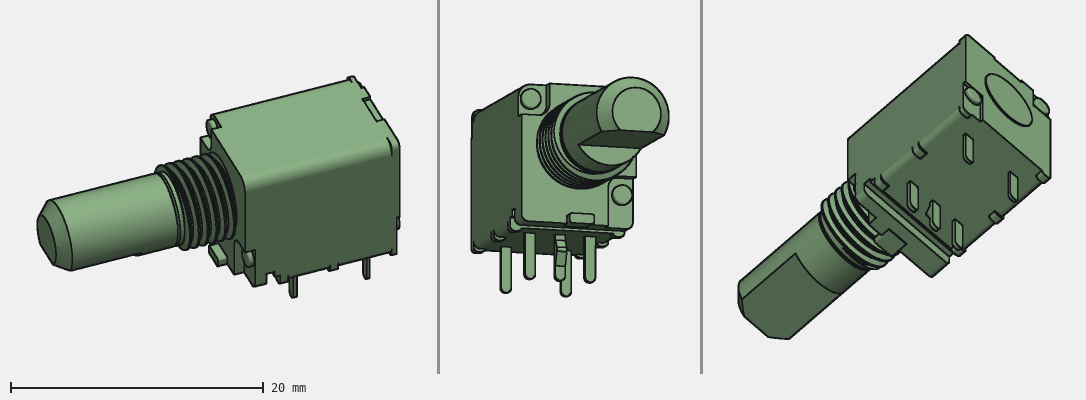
import cadquery as cq


TOTAL_LENGTH = 28.3

BODY_WIDTH = 9.5
BODY_TOP = 4.87
BODY_BOTTOM = -6.3
BODY_REAR = 13.2
REAR_FLANGE_DEPTH = 0.68
TOP_EDGE_RADIUS = 1.02
SMALL_EDGE_RADIUS = 0.55
HALF_WIDTH = BODY_WIDTH / 2
FLANGE_FRONT = BODY_REAR - REAR_FLANGE_DEPTH

REAR_NOTCH_WIDTH = 3.0
REAR_NOTCH_HEIGHT = 0.25

GAP_FRONT = 1.85
GAP_STEP = 2.52
GAP_REAR = 3.0
GAP_TOP = -5.0
GAP_STEP_TOP = -5.52

FOOT_WIDTH = 1.0
FOOT_LENGTH = 0.68
FOOT_BOTTOM = -6.57
FOOT_OUTER_RADIUS = 0.37
FOOT_INNER_RADIUS = 0.35
FOOT_FRONTS = (GAP_REAR, 7.25, FLANGE_FRONT)

RIVET_X = 3.8
RIVET_Z = 3.65
RIVET_RADIUS = 0.8
RIVET_ROUND = 0.15
FRONT_RIVET_HEIGHT = 0.45
FRONT_POCKET_X = 2.43
FRONT_POCKET_Z = 2.25
FRONT_POCKET_DEPTH = 0.85
FRONT_POCKET_RADIUS = 1.0
REAR_POCKET_X = 2.83
REAR_POCKET_Z = 2.65
REAR_POCKET_DEPTH = 0.25

REAR_BOSS_RADIUS = 2.58
REAR_BOSS_HEIGHT = 0.1
REAR_END = BODY_REAR + REAR_BOSS_HEIGHT

KEY_WIDTH = 2.0
KEY_TOP = -5.6
KEY_BOTTOM = -6.4
KEY_FRONT = -0.8
KEY_REAR = 0.85
KEY_RADIUS = 0.185

THREAD_RADIUS = 3.5
BUSHING_RADIUS = 3.0
THREAD_LENGTH = 4.45
BUSHING_LENGTH = 5.0
BUSHING_CHAMFER = 0.2
THREAD_PITCH = 0.75
THREAD_CREST = 0.15
THREAD_ROOT_GAP = 0.1
THREAD_OVERLAP = 0.05
THREAD_FIRST_CREST = 0.4

SHAFT_RADIUS = 3.0
SHAFT_LENGTH = TOTAL_LENGTH - REAR_END
SHAFT_CHAMFER = 1.0
FLAT_LENGTH = 7.0
FLAT_Z = -1.5

PIN_BOTTOM = -10.0
PIN_ROOT = -5.65
PIN_END_RADIUS = 0.4
PIN_SPACING = 2.5
OUTER_PIN_WIDTH = 0.85
MIDDLE_PIN_WIDTH = 0.82
FRONT_PIN_Y = 5.0
FRONT_PIN_THICKNESS = 0.35
REAR_PIN_Y = 11.24
REAR_PIN_THICKNESS = 0.25

BUMP_START_Z = -6.75
BUMP_CREST_TOP_Z = -7.4
BUMP_CREST_BOTTOM_Z = -7.73
BUMP_END_Z = -8.83
BUMP_HEIGHT = 0.45
BUMP_CREST_BULGE = 0.08


def block(x_min, x_max, y_min, y_max, z_min, z_max):
    """Axis-aligned box between two opposite corners."""
    size = (x_max - x_min, y_max - y_min, z_max - z_min)
    return cq.Workplane("XY").box(*size, centered=False).translate((x_min, y_min, z_min))


def rod(radius, y_front, y_rear, x=0, z=0):
    """Cylinder along Y between two Y positions."""
    disc = cq.Workplane("XZ", origin=(x, y_rear, z)).circle(radius)
    return disc.extrude(y_rear - y_front)


def diagonal_pair(solid):
    """The solid together with its copy turned half a turn about the shaft axis."""
    return solid.union(solid.rotate((0, 0, 0), (0, 1, 0), 180))


def make_housing():
    main = block(-HALF_WIDTH, HALF_WIDTH, 0, FLANGE_FRONT, BODY_BOTTOM, BODY_TOP)
    main = main.edges("|Y and >Z").fillet(TOP_EDGE_RADIUS)
    main = main.edges("|Y and <Z").fillet(SMALL_EDGE_RADIUS)
    flange = block(-HALF_WIDTH, HALF_WIDTH, FLANGE_FRONT, BODY_REAR, BODY_BOTTOM, BODY_TOP)
    flange = flange.edges("|Y").fillet(SMALL_EDGE_RADIUS)
    housing = main.union(flange)

    notch_side = REAR_NOTCH_WIDTH / 2
    notch_floor = BODY_TOP - REAR_NOTCH_HEIGHT
    notch = block(-notch_side, notch_side, FLANGE_FRONT, BODY_REAR, notch_floor, BODY_TOP)
    gap = block(-HALF_WIDTH, HALF_WIDTH, GAP_FRONT, GAP_STEP, BODY_BOTTOM, GAP_TOP)
    gap_step = block(-HALF_WIDTH, HALF_WIDTH, GAP_STEP, GAP_REAR, BODY_BOTTOM, GAP_STEP_TOP)
    return housing.cut(notch).cut(gap).cut(gap_step)


def make_corner_pockets():
    far = BODY_WIDTH
    front = block(-far, -FRONT_POCKET_X, 0, FRONT_POCKET_DEPTH, FRONT_POCKET_Z, far)
    front = front.edges("|Y and >X and <Z").fillet(FRONT_POCKET_RADIUS)
    rear_floor = BODY_REAR - REAR_POCKET_DEPTH
    rear = block(-far, -REAR_POCKET_X, rear_floor, BODY_REAR, REAR_POCKET_Z, far)
    return diagonal_pair(front.union(rear))


def make_rivets():
    front_floor = FRONT_POCKET_DEPTH
    rear_floor = BODY_REAR - REAR_POCKET_DEPTH
    front_end = front_floor - FRONT_RIVET_HEIGHT
    rivet = rod(RIVET_RADIUS, front_end, front_floor, -RIVET_X, RIVET_Z)
    rivet = rivet.faces("<Y").edges().fillet(RIVET_ROUND)
    rear_rivet = rod(RIVET_RADIUS, rear_floor, REAR_END, -RIVET_X, RIVET_Z)
    rear_rivet = rear_rivet.faces(">Y").edges().fillet(RIVET_ROUND)
    return diagonal_pair(rivet.union(rear_rivet))


def make_feet():
    feet = cq.Workplane("XY")
    for front in FOOT_FRONTS:
        inner_x = FOOT_WIDTH - HALF_WIDTH
        foot = block(-HALF_WIDTH, inner_x, front, front + FOOT_LENGTH, FOOT_BOTTOM, GAP_STEP_TOP)
        foot = foot.edges("|Y and <Z and <X").fillet(FOOT_OUTER_RADIUS)
        foot = foot.edges("|Y and <Z and >X").fillet(FOOT_INNER_RADIUS)
        feet = feet.add(foot).add(foot.mirror("YZ"))
    return feet.combine()


def make_key():
    key = block(-KEY_WIDTH / 2, KEY_WIDTH / 2, KEY_FRONT, KEY_REAR, KEY_BOTTOM, KEY_TOP)
    return key.edges("|Y").fillet(KEY_RADIUS)


def make_thread():
    start = THREAD_FIRST_CREST - 2 * THREAD_PITCH
    swept_length = THREAD_LENGTH - start + THREAD_PITCH
    inner_radius = BUSHING_RADIUS - THREAD_OVERLAP
    half_crest = THREAD_CREST / 2
    half_base = (THREAD_PITCH - THREAD_ROOT_GAP) / 2
    helix = cq.Wire.makeHelix(THREAD_PITCH, swept_length, inner_radius)
    ridge = (
        cq.Workplane("XZ")
        .moveTo(inner_radius, -half_base)
        .lineTo(THREAD_RADIUS, -half_crest)
        .lineTo(THREAD_RADIUS, half_crest)
        .lineTo(inner_radius, half_base)
        .close()
        .sweep(cq.Workplane(obj=helix), isFrenet=True)
        .translate((0, 0, start))
        .rotate((0, 0, 0), (1, 0, 0), 90)
    )
    return ridge.intersect(rod(2 * THREAD_RADIUS, -THREAD_LENGTH, 0))


def make_bushing():
    bushing = rod(BUSHING_RADIUS, -BUSHING_LENGTH, 0)
    bushing = bushing.faces("<Y").chamfer(BUSHING_CHAMFER)
    return bushing.union(make_thread())


def make_shaft():
    shaft = rod(SHAFT_RADIUS, -SHAFT_LENGTH, 0)
    shaft = shaft.faces("<Y").chamfer(SHAFT_CHAMFER)
    flat_end = FLAT_LENGTH - SHAFT_LENGTH
    flat = block(-SHAFT_RADIUS, SHAFT_RADIUS, -SHAFT_LENGTH, flat_end, -SHAFT_RADIUS, FLAT_Z)
    inside_bushing = rod(SHAFT_RADIUS, -BUSHING_LENGTH, 0)
    return shaft.cut(flat).cut(inside_bushing)


def make_pin(x, y, width, thickness):
    pin = block(
        x - width / 2, x + width / 2, y - thickness / 2, y + thickness / 2, PIN_BOTTOM, PIN_ROOT
    )
    return pin.edges("|Y and <Z").fillet(PIN_END_RADIUS)


def make_bump():
    face_y = FRONT_PIN_Y - FRONT_PIN_THICKNESS / 2
    tip_y = face_y - BUMP_HEIGHT
    crest_y = tip_y + BUMP_CREST_BULGE
    crest_middle_z = (BUMP_CREST_TOP_Z + BUMP_CREST_BOTTOM_Z) / 2
    return (
        cq.Workplane("YZ")
        .moveTo(FRONT_PIN_Y, BUMP_START_Z)
        .lineTo(face_y, BUMP_START_Z)
        .lineTo(crest_y, BUMP_CREST_TOP_Z)
        .threePointArc((tip_y, crest_middle_z), (crest_y, BUMP_CREST_BOTTOM_Z))
        .lineTo(face_y, BUMP_END_Z)
        .lineTo(FRONT_PIN_Y, BUMP_END_Z)
        .close()
        .extrude(MIDDLE_PIN_WIDTH / 2, both=True)
    )


def make_pins():
    pins = make_pin(0, FRONT_PIN_Y, MIDDLE_PIN_WIDTH, FRONT_PIN_THICKNESS).union(make_bump())
    for x in (-PIN_SPACING, PIN_SPACING):
        pins = pins.union(make_pin(x, FRONT_PIN_Y, OUTER_PIN_WIDTH, FRONT_PIN_THICKNESS))
        pins = pins.union(make_pin(x, REAR_PIN_Y, OUTER_PIN_WIDTH, REAR_PIN_THICKNESS))
    return pins


result = (
    make_housing()
    .union(make_feet())
    .cut(make_corner_pockets())
    .union(make_rivets())
    .union(rod(REAR_BOSS_RADIUS, BODY_REAR, REAR_END))
    .union(make_key())
    .union(make_pins())
    .union(make_bushing())
    .union(make_shaft())
)